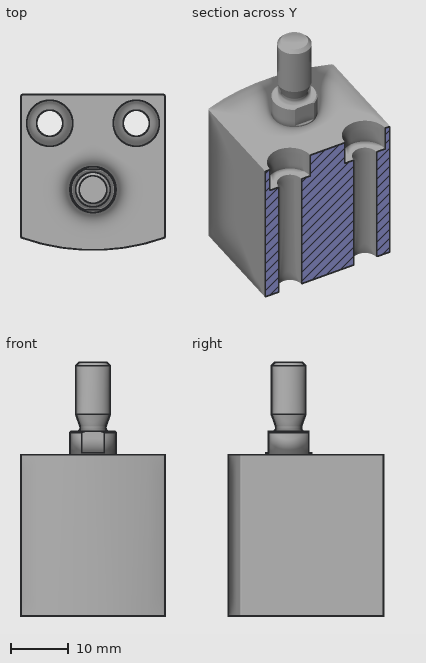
import cadquery as cq
import math

width = 25.0
depth = 27.0
height = 28.0
front_radius = 37.0
corner_radius = 0.4
back_y = 16.5
front_y = back_y - depth

hole_spacing = 15.0
hole_edge_distance = 5.0
hole_diameter = 4.5
counterbore_diameter = 8.0
counterbore_depth = 4.6

rod_length = 16.0
collar_diameter = 8.0
collar_height = 4.0
collar_chamfer = 0.2
flat_width = 7.0
flat_base_height = 0.3
neck_diameter = 4.5
neck_fillet = 0.5
neck_length = 0.9
thread_diameter = 6.0
thread_length = 9.0
thread_minor_diameter = 4.773
thread_chamfer = (thread_diameter - thread_minor_diameter) / 2


def make_housing():
    half_width = width / 2
    bow = front_radius - math.sqrt(front_radius**2 - half_width**2)
    shoulder_y = front_y + bow
    block = (
        cq.Workplane("XY")
        .moveTo(-half_width, back_y)
        .lineTo(-half_width, shoulder_y)
        .threePointArc((0, front_y), (half_width, shoulder_y))
        .lineTo(half_width, back_y)
        .close()
        .extrude(height)
        .edges("|Z")
        .fillet(corner_radius)
    )
    hole_y = back_y - hole_edge_distance
    hole_centers = [(side * hole_spacing / 2, hole_y) for side in (-1, 1)]
    return (
        block.faces(">Z")
        .workplane(origin=(0, 0, height))
        .pushPoints(hole_centers)
        .cboreHole(hole_diameter, counterbore_diameter, counterbore_depth)
    )


def make_rod():
    collar_radius = collar_diameter / 2
    neck_radius = neck_diameter / 2
    thread_radius = thread_diameter / 2
    collar_top = height + collar_height
    rod_top = height + rod_length

    fillet_center = (neck_radius + neck_fillet, collar_top + neck_fillet)
    fillet_reach = neck_fillet * math.sqrt(0.5)
    fillet_middle = (fillet_center[0] - fillet_reach, fillet_center[1] - fillet_reach)

    taper_start = collar_top + neck_length
    taper_end = rod_top - thread_length
    taper_angle = math.atan2(thread_radius - neck_radius, taper_end - taper_start)
    blend_tangent = neck_fillet * math.tan(taper_angle / 2)
    blend_middle = (
        neck_radius + neck_fillet * (1 - math.cos(taper_angle / 2)),
        taper_start - blend_tangent + neck_fillet * math.sin(taper_angle / 2),
    )
    blend_end = (
        neck_radius + blend_tangent * math.sin(taper_angle),
        taper_start + blend_tangent * math.cos(taper_angle),
    )

    rod = (
        cq.Workplane("XZ")
        .moveTo(0, height)
        .lineTo(collar_radius, height)
        .lineTo(collar_radius, collar_top - collar_chamfer)
        .lineTo(collar_radius - collar_chamfer, collar_top)
        .lineTo(neck_radius + neck_fillet, collar_top)
        .threePointArc(fillet_middle, (neck_radius, collar_top + neck_fillet))
        .lineTo(neck_radius, taper_start - blend_tangent)
        .threePointArc(blend_middle, blend_end)
        .lineTo(thread_radius, taper_end)
        .lineTo(thread_radius, rod_top - thread_chamfer)
        .lineTo(thread_radius - thread_chamfer, rod_top)
        .lineTo(0, rod_top)
        .close()
        .revolve(360, (0, 0, 0), (0, 1, 0))
    )

    cut_depth = (collar_diameter - flat_width) / 2
    cut_offset = (flat_width + cut_depth) / 2
    for side in (-1, 1):
        flat_cutter = (
            cq.Workplane("XY", origin=(0, side * cut_offset, height + flat_base_height))
            .box(collar_diameter, cut_depth, collar_height - flat_base_height, centered=(True, True, False))
        )
        rod = rod.cut(flat_cutter)
    return rod


housing = make_housing()
rod = make_rod()
result = cq.Compound.makeCompound([housing.val(), rod.val()])